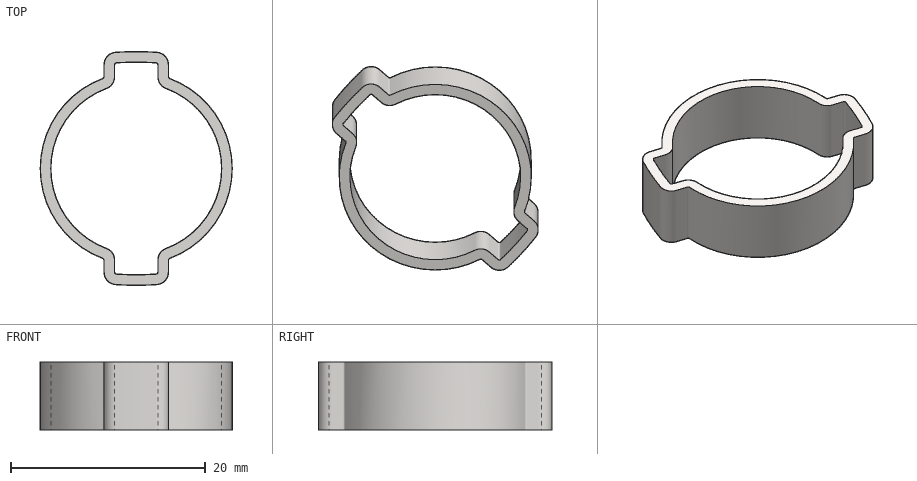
import cadquery as cq
import math

length = 24.0
ring_diameter = 19.7
width = 7.0
thickness = 1.1
ear_width = 6.62
ear_end_radius = 28.79
inner_bend = 0.2
outer_bend = inner_bend + thickness


def clamp_block(inset, corner_radius, root_radius):
    """Solid filled out to the strip's outer face moved inward by inset."""
    radius = ring_diameter / 2 - inset
    half_ear = ear_width / 2 - inset
    tip_y = length / 2 - inset
    end_radius = ear_end_radius - inset
    root_y = math.sqrt(radius**2 - half_ear**2)
    corner_y = tip_y - end_radius + math.sqrt(end_radius**2 - half_ear**2)

    block = (
        cq.Workplane("XY")
        .moveTo(half_ear, root_y)
        .lineTo(half_ear, corner_y)
        .threePointArc((0, tip_y), (-half_ear, corner_y))
        .lineTo(-half_ear, root_y)
        .threePointArc((-radius, 0), (-half_ear, -root_y))
        .lineTo(-half_ear, -corner_y)
        .threePointArc((0, -tip_y), (half_ear, -corner_y))
        .lineTo(half_ear, -root_y)
        .threePointArc((radius, 0), (half_ear, root_y))
        .close()
        .extrude(width)
    )

    split_y = (root_y + corner_y) / 2
    upright_edges = block.edges("|Z")
    corners = upright_edges.filter(lambda edge: abs(edge.Center().y) > split_y)
    block = corners.fillet(corner_radius)
    roots = block.edges("|Z").filter(lambda edge: math.isclose(abs(edge.Center().y), root_y))
    return roots.fillet(root_radius)


outside = clamp_block(0, corner_radius=outer_bend, root_radius=inner_bend)
opening = clamp_block(thickness, corner_radius=inner_bend, root_radius=outer_bend)

result = outside.cut(opening)